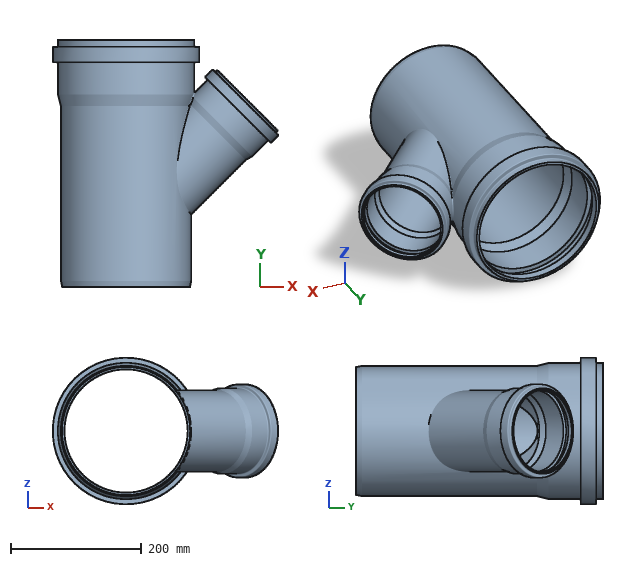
import cadquery as cq

main_length = 380.0
main_diameter = 200.5
main_bore = 189.2
main_socket_diameter = 209.8
main_socket_bore = 201.0
main_ring_diameter = 225.7
main_groove_diameter = 217.0
main_flare_start = 278.5
main_flare_end = 296.0
main_ring_start = 345.5
main_ring_end = 369.5
plain_end_bevel_length = 9.5
plain_end_diameter = 197.0

branch_angle = 45
branch_origin_y = 100.5
branch_length = 264.0
branch_diameter = 125.8
branch_bore = 119.0
branch_socket_diameter = 132.0
branch_socket_bore = 126.0
branch_ring_diameter = 143.5
branch_groove_diameter = 138.0
branch_flare_start = 197.5
branch_flare_end = 208.2
branch_ring_start = 243.2
branch_ring_end = 260.0

ring_round = 1.5
joint_round = 1.0

groove_end_wall = 3.0


def revolve_profile(stations):
    """Revolve (diameter, distance) stations about +Y into a solid."""
    profile = [(diameter / 2, distance) for diameter, distance in stations]
    first, last = profile[0], profile[-1]
    points = [(0, first[1])] + profile + [(0, last[1])]
    return cq.Workplane("XY").polyline(points).close().revolve(360, (0, 0, 0), (0, 1, 0))


def pipe_stations(pipe, socket, ring, flare_start, flare_end, ring_start, ring_end, length):
    """Stations of a pipe from its flare to the mouth of its ringed socket."""
    return [
        (pipe, flare_start),
        (socket, flare_end),
        (socket, ring_start),
        (ring, ring_start),
        (ring, ring_end),
        (socket, ring_end),
        (socket, length),
    ]


def round_ring(body, ring_start, ring_end):
    """Round the outer corners and the feet of a ring that still lies on the main axis."""
    margin = 0.5
    ring_zone = cq.selectors.BoxSelector(
        (-main_length, ring_start - margin, -main_length),
        (main_length, ring_end + margin, main_length),
    )
    return body.edges("%CIRCLE").edges(ring_zone).fillet(ring_round)


def place_branch(body):
    """Turn a body from the main axis onto the branch axis."""
    turned = body.rotate((0, 0, 0), (0, 0, 1), -branch_angle)
    return turned.translate((0, branch_origin_y, 0))


main_outer = revolve_profile(
    [(plain_end_diameter, 0), (main_diameter, plain_end_bevel_length)]
    + pipe_stations(
        main_diameter, main_socket_diameter, main_ring_diameter,
        main_flare_start, main_flare_end, main_ring_start, main_ring_end, main_length,
    )
)
main_outer = round_ring(main_outer, main_ring_start, main_ring_end)

branch_outer = revolve_profile(
    [(branch_diameter, 0)]
    + pipe_stations(
        branch_diameter, branch_socket_diameter, branch_ring_diameter,
        branch_flare_start, branch_flare_end, branch_ring_start, branch_ring_end, branch_length,
    )
)
branch_outer = place_branch(round_ring(branch_outer, branch_ring_start, branch_ring_end))

outer = main_outer.union(branch_outer)
outer = outer.edges("%BSPLINE").fillet(joint_round)

main_inner = revolve_profile(
    [(main_bore, 0)]
    + pipe_stations(
        main_bore, main_socket_bore, main_groove_diameter, main_flare_start, main_flare_end,
        main_ring_start + groove_end_wall, main_ring_end - groove_end_wall, main_length,
    )
)
branch_inner = place_branch(revolve_profile(
    [(branch_bore, 0)]
    + pipe_stations(
        branch_bore, branch_socket_bore, branch_groove_diameter, branch_flare_start, branch_flare_end,
        branch_ring_start + groove_end_wall, branch_ring_end - groove_end_wall, branch_length,
    )
))

result = outer.cut(main_inner).cut(branch_inner)